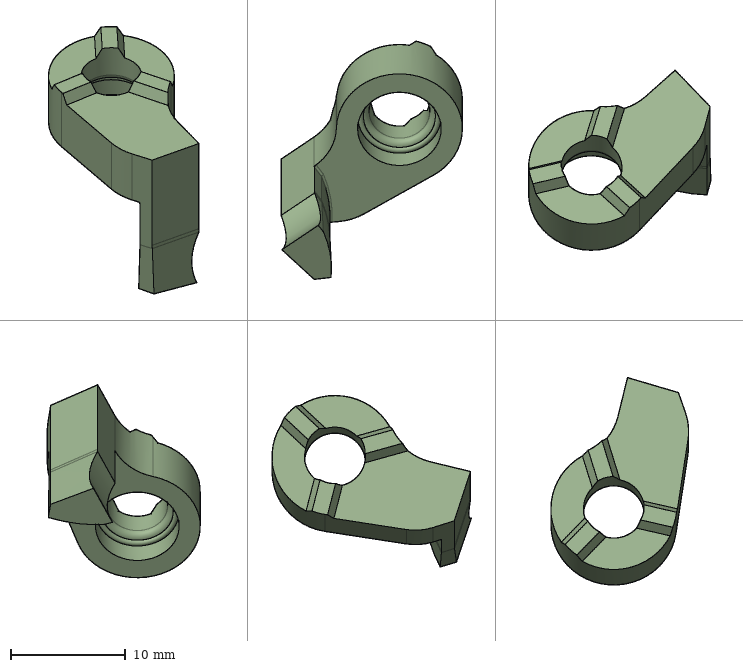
import cadquery as cq
import math

HEAD_HEIGHT = 5.3
RING_RADIUS = 5.5
BORE_DIAMETER = 5.3
ARM_BACK_Y = 1.57
ARM_RADIUS = 5.0
LOWER_EDGE_ANGLE = 5.0
NOSE_ANGLE = 32.0
LOWER_EDGE_END_X = 7.65
END_BACK_X = 11.8
END_FRONT_X = 11.5

TOOTH_ANGLES = (30, 150, 270)
TOOTH_HEIGHT = 0.95
TOOTH_BASE_WIDTH = 2.52
TOOTH_TOP_WIDTH = 1.4

SEAT_DIAMETER = 7.3
SEAT_DEPTH = 2.52
CORD_DIAMETER = 0.5
BORE_EDGE_FILLET = 0.6

LEG_LENGTH = 10.4
SHANK_END_Z = -4.48
TIP_START_Z = -4.85
LEG_LEFT_X = 8.15
LEG_SIDE_Y = 0.45
LEG_CORNER_X = 10.51
LEG_FACE_RADIUS = 11.37
SIDE_SLANT = 0.07
ROOT_FILLET = 0.2
TRANSITION_FLARE = 0.02
TIP_FLARE = 0.2
TIP_FRONT_SHIFT = 0.03

RAKE_MIDDLE_Y = 0.8
RAKE_MIDDLE_Z = -8.22
RAKE_END_Y = 1.26
END_FACE_RISE = 0.52

EDGE_MARGIN = 0.09


def polar(radius, angle):
    return radius * math.cos(math.radians(angle)), radius * math.sin(math.radians(angle))


tangent_point = polar(RING_RADIUS, LOWER_EDGE_ANGLE - 90)
lower_slope = math.tan(math.radians(LOWER_EDGE_ANGLE))
lower_end_y = tangent_point[1] + (LOWER_EDGE_END_X - tangent_point[0]) * lower_slope
lower_start_offset = polar(ARM_RADIUS, LOWER_EDGE_ANGLE - 90)
lower_center = (LOWER_EDGE_END_X - lower_start_offset[0], lower_end_y - lower_start_offset[1])


def on_lower_arc(angle):
    offset = polar(ARM_RADIUS, angle - 90)
    return lower_center[0] + offset[0], lower_center[1] + offset[1]


nose_start = on_lower_arc(NOSE_ANGLE)


def nose_y(x):
    return nose_start[1] + (x - nose_start[0]) * math.tan(math.radians(NOSE_ANGLE))


back_center_y = ARM_BACK_Y + ARM_RADIUS
back_center_x = math.sqrt((RING_RADIUS + ARM_RADIUS) ** 2 - back_center_y**2)
back_angle = math.degrees(math.atan2(back_center_y, back_center_x))
back_middle_offset = polar(ARM_RADIUS, (180 + back_angle + 270) / 2)
back_middle = (back_center_x + back_middle_offset[0], back_center_y + back_middle_offset[1])


def head_outline(height):
    return (
        cq.Workplane("XY")
        .moveTo(*tangent_point)
        .lineTo(LOWER_EDGE_END_X, lower_end_y)
        .threePointArc(on_lower_arc((LOWER_EDGE_ANGLE + NOSE_ANGLE) / 2), nose_start)
        .lineTo(END_FRONT_X, nose_y(END_FRONT_X))
        .lineTo(END_BACK_X, ARM_BACK_Y)
        .lineTo(back_center_x, ARM_BACK_Y)
        .threePointArc(back_middle, polar(RING_RADIUS, back_angle))
        .threePointArc((-RING_RADIUS, 0), tangent_point)
        .close()
        .extrude(height)
    )


def make_teeth():
    """Three radial trapezoidal teeth, cut off at the outline of the head."""
    profile = [
        (-TOOTH_BASE_WIDTH / 2, HEAD_HEIGHT),
        (TOOTH_BASE_WIDTH / 2, HEAD_HEIGHT),
        (TOOTH_TOP_WIDTH / 2, HEAD_HEIGHT + TOOTH_HEIGHT),
        (-TOOTH_TOP_WIDTH / 2, HEAD_HEIGHT + TOOTH_HEIGHT),
    ]
    bar = cq.Workplane("YZ").polyline(profile).close().extrude(2 * RING_RADIUS)
    teeth = cq.Workplane("XY")
    for angle in TOOTH_ANGLES:
        teeth = teeth.add(bar.rotate((0, 0, 0), (0, 0, 1), angle))
    return teeth.combine().intersect(head_outline(HEAD_HEIGHT + TOOTH_HEIGHT))


def leg_section(z, flare, front_shift):
    """Closed wire of the leg at height z, widened by flare, its flat front moved by front_shift."""
    side = (LEG_LEFT_X + SIDE_SLANT - flare, LEG_SIDE_Y)
    corner_x = LEG_CORNER_X - flare / 2
    corner = (corner_x, nose_y(corner_x) - front_shift)
    end_front_x = END_FRONT_X + flare
    end_front = (end_front_x, nose_y(end_front_x) - front_shift)
    chord_x = corner[0] - side[0]
    chord_y = corner[1] - side[1]
    chord = math.hypot(chord_x, chord_y)
    bulge = LEG_FACE_RADIUS - math.sqrt(LEG_FACE_RADIUS**2 - (chord / 2) ** 2)
    face_middle = (
        (side[0] + corner[0]) / 2 + bulge * chord_y / chord,
        (side[1] + corner[1]) / 2 - bulge * chord_x / chord,
    )
    return (
        cq.Workplane("XY", origin=(0, 0, z))
        .moveTo(LEG_LEFT_X - flare, ARM_BACK_Y)
        .lineTo(*side)
        .threePointArc(face_middle, corner)
        .lineTo(*end_front)
        .lineTo(END_BACK_X + flare, ARM_BACK_Y)
        .close()
        .val()
    )


def leg_stretch(top_z, top_flare, bottom_z, bottom_flare, bottom_front_shift=0):
    top_wire = leg_section(top_z, top_flare, 0)
    bottom_wire = leg_section(bottom_z, bottom_flare, bottom_front_shift)
    return cq.Workplane(cq.Solid.makeLoft([top_wire, bottom_wire], True))


def make_tip():
    """Flared tip, trimmed by the concave rake face and the sloping end face."""
    front_y = nose_y(LEG_CORNER_X)
    side_profile = (
        cq.Workplane("YZ")
        .moveTo(ARM_BACK_Y, TIP_START_Z)
        .threePointArc((RAKE_MIDDLE_Y, RAKE_MIDDLE_Z), (RAKE_END_Y, -LEG_LENGTH))
        .lineTo(front_y - TIP_FLARE, END_FACE_RISE - LEG_LENGTH)
        .lineTo(front_y - TIP_FLARE, TIP_START_Z)
        .close()
        .extrude(END_BACK_X + RING_RADIUS)
    )
    flared = leg_stretch(TIP_START_Z, TRANSITION_FLARE, -LEG_LENGTH, TIP_FLARE, TIP_FRONT_SHIFT)
    return flared.intersect(side_profile)


def make_holder():
    shank = leg_stretch(0, 0, SHANK_END_Z, 0)
    transition = leg_stretch(SHANK_END_Z, 0, TIP_START_Z, TRANSITION_FLARE)
    holder = head_outline(HEAD_HEIGHT).union(shank)
    root = cq.selectors.BoxSelector(
        (LEG_LEFT_X - EDGE_MARGIN, nose_y(LEG_CORNER_X) / 2 - EDGE_MARGIN, -EDGE_MARGIN),
        (LEG_CORNER_X, ARM_BACK_Y - EDGE_MARGIN, EDGE_MARGIN),
    )
    holder = holder.edges(root).fillet(ROOT_FILLET)
    holder = holder.union(transition).union(make_tip()).union(make_teeth())
    bore = cq.Workplane("XY").circle(BORE_DIAMETER / 2).extrude(HEAD_HEIGHT + TOOTH_HEIGHT)
    seat = cq.Workplane("XY").circle(SEAT_DIAMETER / 2).extrude(SEAT_DEPTH)
    holder = holder.cut(bore).cut(seat)
    bore_edge = cq.selectors.BoxSelector(
        (-BORE_DIAMETER, -BORE_DIAMETER, SEAT_DEPTH - EDGE_MARGIN),
        (BORE_DIAMETER, BORE_DIAMETER, SEAT_DEPTH + EDGE_MARGIN),
    )
    return holder.edges(bore_edge).edges(cq.selectors.RadiusNthSelector(0)).fillet(BORE_EDGE_FILLET)


def make_o_ring():
    """Round-section ring in the upper corner of the seat, touching its wall and its top."""
    center_radius = (SEAT_DIAMETER - CORD_DIAMETER) / 2
    center_z = SEAT_DEPTH - CORD_DIAMETER / 2
    return (
        cq.Workplane("XZ")
        .center(center_radius, center_z)
        .circle(CORD_DIAMETER / 2)
        .revolve(360, (-center_radius, 0), (-center_radius, 1))
    )


holder = make_holder()
o_ring = make_o_ring()
result = cq.Compound.makeCompound([holder.val(), o_ring.val()])